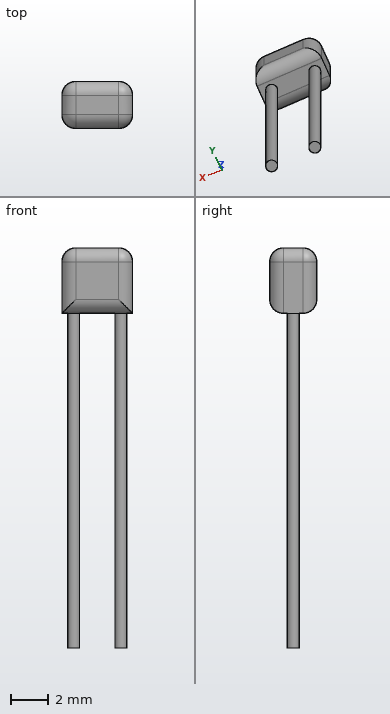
import cadquery as cq

total_height = 21.5
body_width = 3.8
body_depth = 2.54
body_height = 3.53
round_radius = 0.75

lead_diameter = 0.65
lead_pitch = 2.54
lead_length = total_height - body_height


def make_body():
    """Moulded block standing on Z = 0, with its two short bottom edges left sharp."""
    block = cq.Workplane("XY").box(body_width, body_depth, body_height, centered=(True, True, False))
    rounded_block = block.edges("|Z or >Z").fillet(round_radius)
    end_profile = block.edges("|X and <Z").fillet(round_radius)
    return rounded_block.intersect(end_profile).solids()


def make_lead(x_position):
    """Straight round wire hanging from the flat underside of the body."""
    return cq.Workplane("XY").center(x_position, 0).circle(lead_diameter / 2).extrude(-lead_length)


body = make_body()
leads = [make_lead(side * lead_pitch / 2) for side in (-1, 1)]

result = cq.Compound.makeCompound([body.val(), *[lead.val() for lead in leads]])